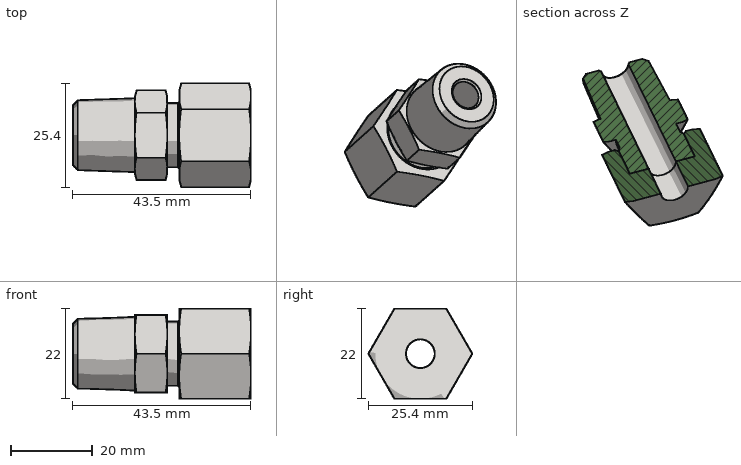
import cadquery as cq
import math


total_length = 43.5
entry_chamfer_length = 1.25
hex_start = 15.2
hex_end = 23.05
relief_end = 25.6
nut_start = 26.0
nut_length = total_length - nut_start
spigot_end = nut_start + nut_length / 2

bore_radius = 3.5
bore_chamfer = 0.52
taper_small_radius = 8.55
entry_face_radius = taper_small_radius - entry_chamfer_length
taper_large_radius = 9.05
relief_radius = 7.87
spigot_radius = 8.53
mouth_radius = 9.22
relief_cone_angle = 30.0

body_hex_width = 19.0
nut_hex_width = 22.0
corner_chamfer_angle = 15.0
hex_sides = 6


def turned(profile):
    """Revolve a closed outline of (x, radius) points about the X axis."""
    return cq.Workplane("XY").polyline(profile).close().revolve(360, (0, 0, 0), (1, 0, 0))


def chamfered_hex(width, start, end):
    """Hexagonal prism along X with flats facing +Z and -Z and turned corners at both ends."""
    flat_radius = width / 2
    corner_radius = flat_radius / math.cos(math.pi / hex_sides)
    chamfer_length = (corner_radius - flat_radius) * math.tan(math.radians(corner_chamfer_angle))
    prism = (
        cq.Workplane("YZ", origin=(start, 0, 0))
        .polygon(hex_sides, 2 * corner_radius)
        .extrude(end - start)
    )
    envelope = turned([
        (start, 0),
        (start, flat_radius),
        (start + chamfer_length, corner_radius),
        (end - chamfer_length, corner_radius),
        (end, flat_radius),
        (end, 0),
    ])
    return prism.intersect(envelope)


def make_threaded_outline():
    """Taper thread, thread relief and spigot of the body, with the bore filled."""
    cone_length = (spigot_radius - relief_radius) / math.tan(math.radians(relief_cone_angle))
    return turned([
        (0, 0),
        (0, entry_face_radius),
        (entry_chamfer_length, taper_small_radius),
        (hex_start, taper_large_radius),
        (hex_end, taper_large_radius),
        (hex_end, relief_radius),
        (relief_end, relief_radius),
        (relief_end + cone_length, spigot_radius),
        (spigot_end, spigot_radius),
        (spigot_end, 0),
    ])


def make_bore():
    """Through bore of the whole fitting, chamfered at the pipe-thread end."""
    return turned([
        (0, 0),
        (0, bore_radius + bore_chamfer),
        (bore_chamfer, bore_radius),
        (total_length, bore_radius),
        (total_length, 0),
    ])


def make_body():
    """Fitting body: taper thread, wrench hexagon and the spigot that enters the nut."""
    hexagon = chamfered_hex(body_hex_width, hex_start, hex_end)
    return make_threaded_outline().union(hexagon).cut(make_bore())


def make_nut():
    """Union nut: hexagon with a countersunk recess for the spigot and a bored end wall."""
    recess = turned([
        (nut_start, 0),
        (nut_start, mouth_radius),
        (nut_start + mouth_radius - spigot_radius, spigot_radius),
        (spigot_end, spigot_radius),
        (spigot_end, 0),
    ])
    return chamfered_hex(nut_hex_width, nut_start, total_length).cut(recess).cut(make_bore())


body = make_body()
nut = make_nut()

result = cq.Compound.makeCompound([body.val(), nut.val()])